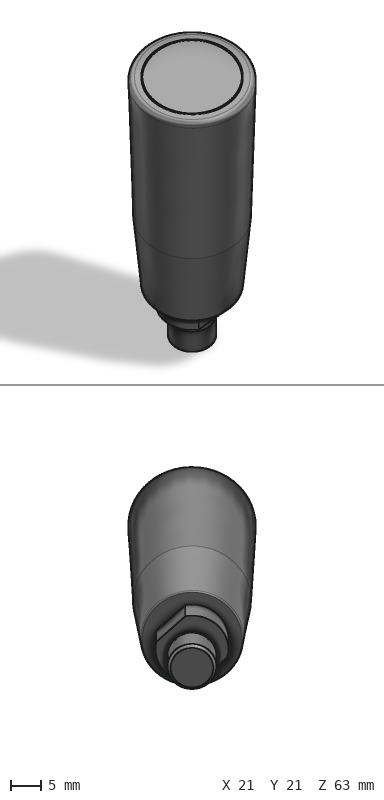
import cadquery as cq

total_height = 63.0
collar_bottom = 8.0
grip_bottom = 12.85
grip_waist = 29.5

thread_diameter = 8.0
neck_diameter = 6.5
thread_top = 5.4
thread_chamfer = 0.5
thread_shoulder = 0.55

collar_diameter = 12.0
flat_width = 10.0

top_diameter = 21.05
waist_diameter = 19.4
grip_bottom_diameter = 16.8
top_rounding = 1.0
bottom_rounding = 0.25

groove_outer_diameter = 16.7
groove_inner_diameter = 16.3
groove_depth = 0.2


def make_stud():
    """Revolved thread, conical shoulder and undercut neck."""
    thread_radius = thread_diameter / 2
    neck_radius = neck_diameter / 2
    profile = (
        cq.Workplane("XZ")
        .moveTo(0, 0)
        .lineTo(thread_radius - thread_chamfer, 0)
        .lineTo(thread_radius, thread_chamfer)
        .lineTo(thread_radius, thread_top)
        .lineTo(neck_radius, thread_top + thread_shoulder)
        .lineTo(neck_radius, collar_bottom)
        .lineTo(0, collar_bottom)
        .close()
    )
    return profile.revolve(360, (0, 0, 0), (0, 1, 0))


def make_collar():
    """Round collar cut to two flats facing -X and +X."""
    height = grip_bottom - collar_bottom
    base = cq.Workplane("XY").workplane(offset=collar_bottom)
    disc = base.circle(collar_diameter / 2).extrude(height)
    flats = base.rect(flat_width, collar_diameter).extrude(height)
    return disc.intersect(flats)


def make_grip():
    """Two-stage tapered grip with rounded ends."""
    profile = (
        cq.Workplane("XZ")
        .moveTo(0, grip_bottom)
        .lineTo(grip_bottom_diameter / 2, grip_bottom)
        .lineTo(waist_diameter / 2, grip_waist)
        .lineTo(top_diameter / 2, total_height)
        .lineTo(0, total_height)
        .close()
    )
    grip = profile.revolve(360, (0, 0, 0), (0, 1, 0))
    grip = grip.faces(">Z").edges().fillet(top_rounding)
    return grip.faces("<Z").edges().fillet(bottom_rounding)


def make_cap_groove():
    """Ring to remove from the top face."""
    return (
        cq.Workplane("XY")
        .workplane(offset=total_height - groove_depth)
        .circle(groove_outer_diameter / 2)
        .circle(groove_inner_diameter / 2)
        .extrude(groove_depth)
    )


result = make_stud().union(make_collar()).union(make_grip()).cut(make_cap_groove())